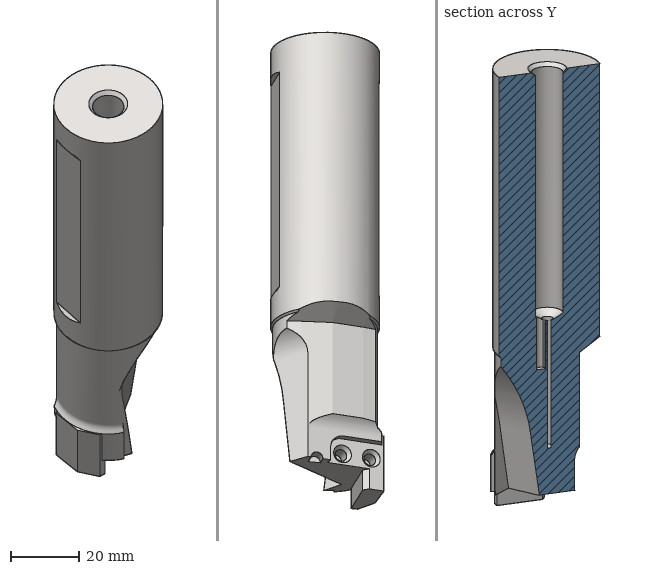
import cadquery as cq
import math

total_length = 139.0
body_bottom = 6.4
shank_bottom = 51.2

shank_radius = 16.0
shank_edge_chamfer = 0.5
clamp_flat_offset = 15.0
clamp_flat_bottom = 61.2
clamp_flat_top = 129.3
clamp_flat_run_out = shank_radius - clamp_flat_offset

bore_radius = 4.6
bore_mouth_radius = 5.7
bore_depth = 76.5
bore_tip_angle = 118.0
coolant_radius = 1.7
branch_radius = 1.4
branch_x = 2.5
branch_y = 1.5
branch_depth = 16.7
coolant_depth = 41.7
outlet_radius = 1.8
outlet_y = 4.5
outlet_depth = 5.5
outlet_lead = 2.8

neck_radius = shank_radius - shank_edge_chamfer
facet_tilt = 7.5
facet_ridge_x = -9.7
facet_half_width = 9.5
facet_end_x = -7.6
facet_end_y = 13.2
facet_top = 49.3
facet_slope_height = 5.5
facet_slope_angle = 57.0

head_radius = 16.7
tongue_reach = 17.0
tongue_edge_y = -12.4
tongue_inner_x = -2.6
tongue_inner_y = -10.7
tongue_bend_x = 6.0
tongue_bend_y = -16.5
tongue_end_x = 11.7
tongue_end_y = -12.6
head_top = 17.5
head_side_x = 14.3
head_side_y = -9.0
head_corner_x = 15.3
head_corner_y = -6.4
flare_top = 20.0
flare_fillet = 1.8
flare_fillet_run = 0.7
head_face_offset = 7.8
head_face_top = 15.8
head_face_arc_top = 20.5
seat_offset = 5.5
seat_top = 14.6
seat_end_y = 1.3
seat_corner_radius = 4.2

screw_positions = (-3.3, -12.4)
screw_z = 9.9
screw_head_radius = 2.8
screw_hole_radius = 1.8
screw_sink_depth = 1.3
screw_hole_depth = 5.5

chip_wall_angle = 130.5
chip_wall_offset = 11.3
chip_wall_top = 39.3
chip_end_radius = 9.7

flute_angle = 35.0
flute_floor_bottom = 2.8
flute_floor_top = 5.7
flute_bend_z = 25.0
flute_mid_floor = 8.3
flute_mid_z = 37.5
flute_edge_low = 10.8
flute_edge_high = 13.2
flute_edge_bend_z = 32.0

reach = 2 * shank_radius


def cylinder(radius, bottom, top, x=0, y=0):
    return cq.Workplane("XY", origin=(x, y, bottom)).circle(radius).extrude(top - bottom)


def turn(tool, angle):
    return tool.rotate((0, 0, 0), (0, 0, 1), angle)


def make_shank():
    shank = cylinder(shank_radius, shank_bottom, total_length)
    shank = shank.faces("<Z").chamfer(shank_edge_chamfer)
    flat_cut = (
        cq.Workplane("YZ")
        .moveTo(-clamp_flat_offset, clamp_flat_bottom)
        .lineTo(-clamp_flat_offset, clamp_flat_top)
        .lineTo(-shank_radius, clamp_flat_top + clamp_flat_run_out)
        .lineTo(-shank_radius, clamp_flat_bottom - clamp_flat_run_out)
        .close()
        .extrude(shank_radius, both=True)
    )
    return shank.cut(flat_cut).cut(turn(flat_cut, 180))


def make_head():
    fillet_radius = (flare_fillet ** 2 + flare_fillet_run ** 2) / (2 * flare_fillet_run)
    flare = (
        cq.Workplane("XZ")
        .moveTo(0, body_bottom)
        .lineTo(head_radius, body_bottom)
        .lineTo(head_radius, head_top)
        .lineTo(neck_radius + flare_fillet_run, flare_top - flare_fillet)
        .radiusArc((neck_radius, flare_top), fillet_radius)
        .lineTo(0, flare_top)
        .close()
        .revolve(360, (0, 0), (0, 1))
    )
    outline = [
        (-reach, -reach),
        (head_side_x, -reach),
        (head_side_x, head_side_y),
        (head_corner_x, head_corner_y),
        (0, 0),
        (-reach, 0),
    ]
    sector = (
        cq.Workplane("XY")
        .polyline(outline)
        .close()
        .extrude(flare_top)
    )
    return flare.intersect(sector)


def seat_x(y):
    tilt = math.radians(facet_tilt)
    return -seat_offset / math.cos(tilt) - y * math.tan(tilt)


def make_tongue():
    outline = [
        (seat_x(tongue_edge_y), tongue_edge_y),
        (seat_x(-tongue_reach), -tongue_reach),
        (tongue_bend_x, tongue_bend_y),
        (tongue_end_x, tongue_end_y),
        (tongue_end_x, tongue_inner_y),
        (tongue_inner_x, tongue_inner_y),
    ]
    return cq.Workplane("XY").polyline(outline).close().extrude(head_top)


def make_facet_cut():
    facet_edge_x = facet_ridge_x + facet_half_width * math.tan(math.radians(facet_tilt))
    outline = [
        (facet_ridge_x, 0),
        (facet_edge_x, facet_half_width),
        (facet_end_x, facet_end_y),
        (facet_end_x, reach),
        (-reach, reach),
        (-reach, -reach),
        (facet_end_x, -reach),
        (facet_end_x, -facet_end_y),
        (facet_edge_x, -facet_half_width),
    ]
    side = cq.Workplane("XY").polyline(outline).close().extrude(facet_top)
    slope = (
        cq.Workplane("XY", origin=(0, 0, facet_top))
        .polyline(outline)
        .close()
        .extrude(facet_slope_height, taper=facet_slope_angle)
    )
    return side.union(slope)


def make_head_face_cut():
    rise = head_face_arc_top - head_face_top
    depth = -facet_ridge_x - head_face_offset
    radius = (rise ** 2 + depth ** 2) / (2 * depth)
    tool = (
        cq.Workplane("XZ")
        .moveTo(-head_face_offset, 0)
        .lineTo(-head_face_offset, head_face_top)
        .radiusArc((facet_ridge_x, head_face_arc_top), -radius)
        .lineTo(-reach, head_face_arc_top)
        .lineTo(-reach, 0)
        .close()
        .extrude(reach, both=True)
    )
    return turn(tool, facet_tilt)


def make_seat_cut():
    tool = (
        cq.Workplane("YZ", origin=(-seat_offset, 0, 0))
        .moveTo(-reach, 0)
        .lineTo(-reach, seat_top)
        .lineTo(seat_end_y - seat_corner_radius, seat_top)
        .radiusArc((seat_end_y, seat_top - seat_corner_radius), seat_corner_radius)
        .lineTo(seat_end_y, 0)
        .close()
        .extrude(-reach)
    )
    return turn(tool, facet_tilt)


def make_screw_hole(y):
    profile = (
        cq.Workplane("XY", origin=(-seat_offset, y, screw_z))
        .lineTo(0, screw_head_radius)
        .lineTo(screw_sink_depth, screw_hole_radius)
        .lineTo(screw_hole_depth, screw_hole_radius)
        .lineTo(screw_hole_depth, 0)
        .close()
    )
    return turn(profile.revolve(360, (0, 0), (1, 0)), facet_tilt)


def make_chip_pocket():
    tool = (
        cq.Workplane("XZ")
        .moveTo(chip_wall_offset, 0)
        .lineTo(chip_wall_offset, chip_wall_top)
        .radiusArc((chip_wall_offset + chip_end_radius, chip_wall_top + chip_end_radius), chip_end_radius)
        .lineTo(chip_wall_offset + chip_end_radius, 0)
        .close()
        .extrude(reach, both=True)
    )
    return turn(tool, chip_wall_angle)


def make_flute():
    floor = (
        cq.Workplane("XZ")
        .moveTo(flute_floor_bottom, 0)
        .lineTo(flute_floor_top, flute_bend_z)
        .threePointArc((flute_mid_floor, flute_mid_z), (neck_radius, shank_bottom))
        .lineTo(reach, shank_bottom)
        .lineTo(reach, 0)
        .close()
        .extrude(reach, both=True)
    )
    side = (
        cq.Workplane("YZ")
        .moveTo(-flute_edge_low, 0)
        .lineTo(-flute_edge_high, flute_edge_bend_z)
        .lineTo(-flute_edge_high, shank_bottom)
        .lineTo(reach, shank_bottom)
        .lineTo(reach, 0)
        .close()
        .extrude(reach)
    )
    return turn(floor.intersect(side), flute_angle)


def make_coolant_bore():
    bore_bottom = total_length - bore_depth
    tip_depth = bore_radius / math.tan(math.radians(bore_tip_angle / 2))
    bore = (
        cq.Workplane("XZ")
        .moveTo(0, total_length)
        .lineTo(bore_mouth_radius, total_length)
        .lineTo(bore_radius, total_length - bore_mouth_radius + bore_radius)
        .lineTo(bore_radius, bore_bottom)
        .lineTo(0, bore_bottom - tip_depth)
        .close()
        .revolve(360, (0, 0), (0, 1))
    )
    center = cylinder(coolant_radius, bore_bottom - coolant_depth, bore_bottom)
    branch = cylinder(branch_radius, bore_bottom - branch_depth, bore_bottom, branch_x, branch_y)
    return bore.union(center).union(branch)


def make_outlet():
    return (
        cq.Workplane("YZ", origin=(-head_face_offset - outlet_lead, outlet_y, body_bottom))
        .circle(outlet_radius)
        .extrude(outlet_depth)
    )


body = cylinder(neck_radius, body_bottom, shank_bottom).union(make_shank()).union(make_head())
for cut_tool in (make_facet_cut(), make_head_face_cut(), make_chip_pocket(), make_flute(), make_seat_cut()):
    body = body.cut(cut_tool)
body = body.union(make_tongue())
for position in screw_positions:
    body = body.cut(make_screw_hole(position))
result = body.cut(make_coolant_bore()).cut(make_outlet())